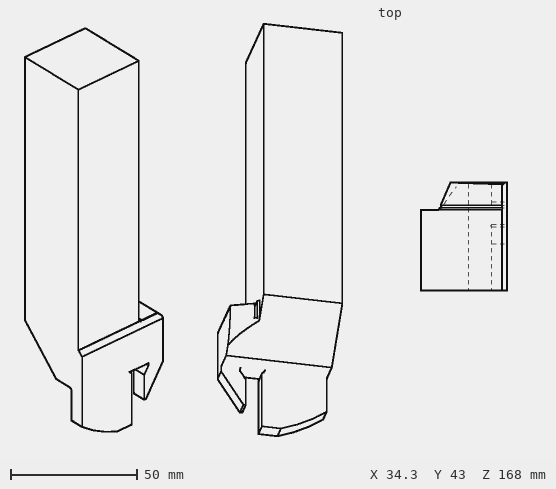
import cadquery as cq
import math

LENGTH = 168.0
HEAD_WIDTH = 34.3
HEAD_DEPTH = 43.0
SHANK_SIZE = 32.1

SHOULDER_Z = 45.2
SHOULDER_CHAMFER = 2.0
SLOPE_TOP_Z = 44.0
HEAD_BOTTOM_Z = 25.2
BLADE_THICKNESS = 6.4
BLADE_X = HEAD_WIDTH - BLADE_THICKNESS
ROOT_FILLET = 1.0
SLOPE_RUN = SLOPE_TOP_Z - HEAD_BOTTOM_Z

BLADE_EDGE_Y = 26.4
BLADE_FLAT_Y = 18.6
BLADE_FRONT_Z = 10.0
BLADE_CURVE_MIDDLE = (10.2, 3.5)

JAW_TIP_Z = 8.9
JAW_TIP_Y = 34.0
JAW_FACE_Y = 33.0
JAW_FACE_TOP_Z = 20.7
JAW_ROOT_Y = 35.3
JAW_BACK_Z = 23.0

BOSS_SIDE_X = 7.0
BOSS_BACK_X = 11.8
BOSS_SIDE_RADIUS = 27.4
BOSS_TANGENT_Z = 42.0
BOSS_LEFT_Z = 44.0
BOSS_RIGHT_Z = 44.9
BOSS_CHAMFER = 1.0

SLIT_Y = 33.0
SLIT_WIDTH = 1.0
SLIT_FLOOR_Z = 37.6

OVERCUT = 1.7


def make_shank():
    """Square bar, cut off at 45 degrees at its lower end."""
    return (
        cq.Workplane("XZ")
        .moveTo(0, LENGTH)
        .lineTo(SHANK_SIZE, LENGTH)
        .lineTo(SHANK_SIZE, HEAD_BOTTOM_Z)
        .lineTo(SLOPE_RUN, HEAD_BOTTOM_Z)
        .lineTo(0, SLOPE_TOP_Z)
        .close()
        .extrude(-SHANK_SIZE)
    )


def make_head_outline():
    """Side outline of the head, extruded over its full depth."""
    fillet_arc = ROOT_FILLET * (1 - math.sqrt(0.5))
    return (
        cq.Workplane("XZ")
        .moveTo(0, SHOULDER_Z)
        .lineTo(HEAD_WIDTH - SHOULDER_CHAMFER, SHOULDER_Z)
        .lineTo(HEAD_WIDTH, SHOULDER_Z - SHOULDER_CHAMFER)
        .lineTo(HEAD_WIDTH, 0)
        .lineTo(BLADE_X, 0)
        .lineTo(BLADE_X, HEAD_BOTTOM_Z - ROOT_FILLET)
        .threePointArc(
            (BLADE_X - fillet_arc, HEAD_BOTTOM_Z - fillet_arc),
            (BLADE_X - ROOT_FILLET, HEAD_BOTTOM_Z),
        )
        .lineTo(SLOPE_RUN, HEAD_BOTTOM_Z)
        .lineTo(0, SLOPE_TOP_Z)
        .close()
        .extrude(-HEAD_DEPTH)
    )


def make_depth_outline():
    """Outline of the head, lower blade and jaw seen along X."""
    return (
        cq.Workplane("YZ")
        .moveTo(0, SHOULDER_Z)
        .lineTo(0, BLADE_FRONT_Z)
        .threePointArc(BLADE_CURVE_MIDDLE, (BLADE_FLAT_Y, 0))
        .lineTo(BLADE_EDGE_Y, 0)
        .lineTo(BLADE_EDGE_Y, HEAD_BOTTOM_Z - ROOT_FILLET)
        .lineTo(BLADE_EDGE_Y - ROOT_FILLET, HEAD_BOTTOM_Z)
        .lineTo(JAW_ROOT_Y, HEAD_BOTTOM_Z)
        .lineTo(JAW_ROOT_Y, HEAD_BOTTOM_Z - ROOT_FILLET)
        .lineTo(JAW_FACE_Y, JAW_FACE_TOP_Z)
        .lineTo(JAW_FACE_Y, JAW_TIP_Z)
        .lineTo(JAW_TIP_Y, JAW_TIP_Z)
        .lineTo(HEAD_DEPTH, JAW_BACK_Z)
        .lineTo(HEAD_DEPTH, SHOULDER_Z)
        .close()
        .extrude(HEAD_WIDTH)
    )


def make_boss_side_cut():
    """Waste outside the boss: a slanted wall that curves inward toward the bottom."""
    run = BOSS_BACK_X - BOSS_SIDE_X
    rise = HEAD_DEPTH - SHANK_SIZE
    side_plane = cq.Plane(
        origin=(BOSS_SIDE_X, SHANK_SIZE, BOSS_TANGENT_Z),
        xDir=(rise, -run, 0),
        normal=(-run, -rise, 0),
    )
    curve_drop = BOSS_TANGENT_Z - HEAD_BOTTOM_Z
    middle_drop = curve_drop / 2

    def inset(drop):
        return BOSS_SIDE_RADIUS - math.sqrt(BOSS_SIDE_RADIUS**2 - drop**2)

    waste = (
        cq.Workplane(side_plane)
        .moveTo(0, LENGTH)
        .lineTo(0, 0)
        .threePointArc((inset(middle_drop), -middle_drop), (inset(curve_drop), -curve_drop))
        .lineTo(-HEAD_WIDTH, -curve_drop)
        .lineTo(-HEAD_WIDTH, LENGTH)
        .close()
        .extrude(HEAD_DEPTH, both=True)
    )
    behind_shank = cq.Workplane("XY").box(HEAD_WIDTH, HEAD_DEPTH, LENGTH, centered=False).translate(
        (0, SHANK_SIZE, 0)
    )
    return waste.intersect(behind_shank)


def make_boss_top_cut():
    """Waste above the boss top, which falls gently toward its slanted side."""
    boss_front_y = SLIT_Y + SLIT_WIDTH
    return (
        cq.Workplane("XZ", origin=(0, boss_front_y, 0))
        .moveTo(BOSS_SIDE_X, BOSS_LEFT_Z)
        .lineTo(SHANK_SIZE, BOSS_RIGHT_Z)
        .lineTo(SHANK_SIZE, SHOULDER_Z + OVERCUT)
        .lineTo(BOSS_SIDE_X, SHOULDER_Z + OVERCUT)
        .close()
        .extrude(-HEAD_DEPTH)
    )


def make_boss_chamfer_cut():
    """Waste on the top back edge of the boss."""
    reach = BOSS_CHAMFER + OVERCUT
    return (
        cq.Workplane("YZ")
        .moveTo(HEAD_DEPTH, BOSS_LEFT_Z)
        .lineTo(HEAD_DEPTH - reach, BOSS_LEFT_Z + reach)
        .lineTo(HEAD_DEPTH, BOSS_LEFT_Z + reach)
        .close()
        .extrude(HEAD_WIDTH)
    )


def make_slit_cut():
    return cq.Workplane("XY").box(SHANK_SIZE, SLIT_WIDTH, LENGTH, centered=False).translate(
        (0, SLIT_Y, SLIT_FLOOR_Z)
    )


def make_holder():
    head = make_head_outline().intersect(make_depth_outline())
    head = head.cut(make_boss_side_cut())
    head = head.cut(make_boss_top_cut())
    head = head.cut(make_boss_chamfer_cut())
    head = head.cut(make_slit_cut())
    return make_shank().union(head)


holder = make_holder()
result = cq.Compound.makeCompound([holder.solids().val()])